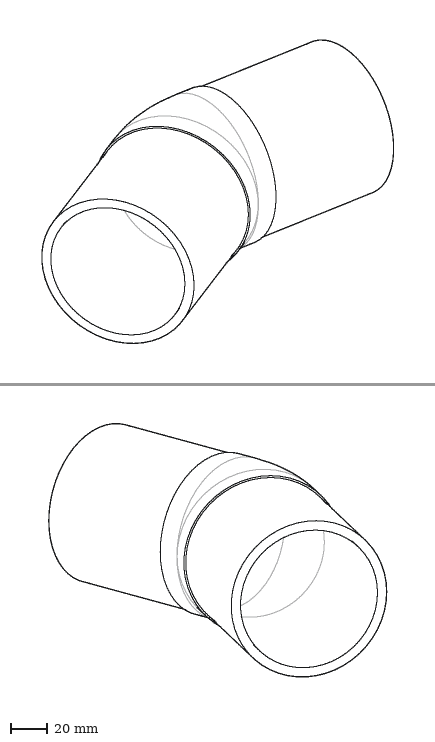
import cadquery as cq
import math

bend_angle = 30.0
pipe_diameter = 90.0
pipe_wall = 5.4
collar_wall = 1.2 * pipe_wall
collar_length = 12.5
pipe_length = 85.0
bend_tangent = 12.5
bore_tight_radius = 0.5

bore_diameter = pipe_diameter - 2 * pipe_wall
collar_diameter = bore_diameter + 2 * collar_wall
arm_length = collar_length + pipe_length
tangent_per_radius = math.tan(math.radians(bend_angle / 2))
outer_bend_radius = bend_tangent / tangent_per_radius
bore_bend_radius = bore_diameter / 2 + bore_tight_radius
bore_bend_start = bend_tangent - bore_bend_radius * tangent_per_radius


def cylinder(diameter, start_y, end_y):
    """Cylinder on the Y axis from start_y down to end_y."""
    return cq.Workplane("XZ", origin=(0, start_y, 0)).circle(diameter / 2).extrude(start_y - end_y)


def bend(diameter, radius, start_y):
    """Bend of round section that leaves the Y axis at start_y and turns from +Y toward +X."""
    return (
        cq.Workplane("XZ", origin=(0, start_y, 0))
        .circle(diameter / 2)
        .revolve(bend_angle, (radius, 0, 0), (radius, -1, 0))
    )


def both_arms(near_arm):
    """Near arm together with the same arm turned about the corner onto the far axis."""
    far_arm = near_arm.rotate((0, bend_tangent, 0), (0, bend_tangent, 1), 180 - bend_angle)
    return near_arm.union(far_arm)


def elbow_solid():
    """Outer form: bend, collars and pipe ends."""
    collar = cylinder(collar_diameter, 0, -collar_length)
    pipe = cylinder(pipe_diameter, 0, -arm_length)
    outer_bend = bend(collar_diameter, outer_bend_radius, 0)
    return outer_bend.union(both_arms(collar.union(pipe)))


def elbow_bore():
    """Passage of one diameter, whose bend is tighter than the outer one and has the same corner."""
    straight_bore = cylinder(bore_diameter, bore_bend_start, -arm_length)
    bore_bend = bend(bore_diameter, bore_bend_radius, bore_bend_start)
    return bore_bend.union(both_arms(straight_bore))


result = elbow_solid().cut(elbow_bore())